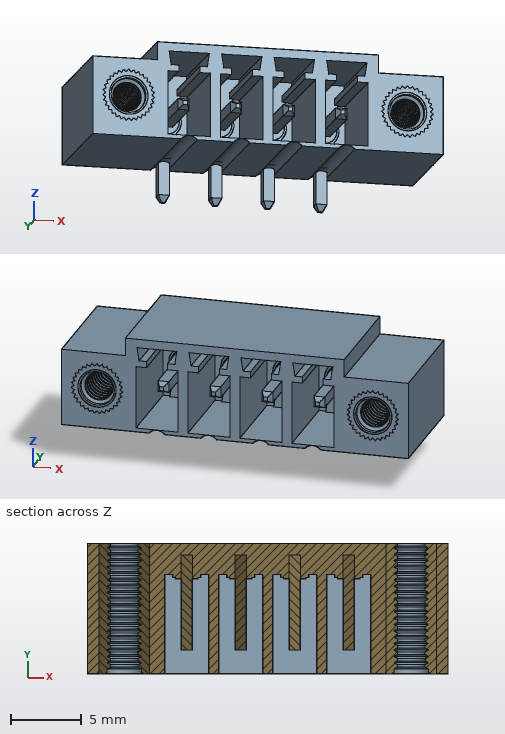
import cadquery as cq
import math


pole_count = 4
pitch = 3.81
pole_positions = [(i - (pole_count - 1) / 2) * pitch for i in range(pole_count)]
axis_height = 2.97

total_length = 25.43
body_length = 16.04
housing_depth = 9.2
housing_height = 6.97
flange_height = 5.66

cavity_depth = 7.0
cavity_width = 3.08
cavity_floor = 0.29
ledge_bottom = 4.90
ledge_top = 5.36
neck_width = 1.53
keyway_bottom_width = 2.62
keyway_top_width = 2.92
keyway_top = 6.34

pad_thickness = 0.2
pad_disc_diameter = 2.14
pad_end_width = 2.02
pad_waist_width = 1.44
pad_waist_height = 1.7
collar_diameter = 1.8
collar_thickness = 0.1

groove_diameter = 1.5
groove_height = 0.27

pin_size = 0.8
pin_tip_size = 0.3
pin_taper = 0.48
pin_leg_inset = 1.23
pin_leg_bottom = -2.64
pin_front = 1.2

insert_spacing = 20.22
insert_positions = [-insert_spacing / 2, insert_spacing / 2]
insert_protrusion = 0.01
insert_length = housing_depth + insert_protrusion
knurl_teeth = 31
knurl_tip_diameter = 3.75
knurl_root_diameter = 3.38
recess_diameter = 2.8
recess_depth = 0.05
thread_major_diameter = 2.52
thread_minor_diameter = 2.05
thread_pitch = 0.45
thread_start = 0.35
thread_half_angle = 30


def extrude_back(sketch_points, front_y, depth):
    """Prism of an XZ outline, running towards +Y from front_y."""
    plane = cq.Workplane("XZ", origin=(0, front_y, 0))
    return plane.polyline(sketch_points).close().extrude(-depth)


def disc(diameter, front_y, depth, height):
    """Cylinder along Y on X = 0."""
    return cq.Workplane("XZ", origin=(0, front_y, height)).circle(diameter / 2).extrude(-depth)


def mirrored(right_side):
    """Closed outline from its right-hand points, listed from the bottom up."""
    return right_side + [(-x, z) for x, z in reversed(right_side)]


def make_cavity():
    """Space of one pole: a wide box, a neck between two ledges and a flared keyway above."""
    pad_front = cavity_depth - pad_thickness
    outline = mirrored([
        (cavity_width / 2, cavity_floor),
        (cavity_width / 2, ledge_bottom),
        (neck_width / 2, ledge_bottom),
        (neck_width / 2, ledge_top),
        (keyway_bottom_width / 2, ledge_top),
        (keyway_top_width / 2, keyway_top),
    ])
    cavity = extrude_back(outline, 0, pad_front)

    box_outline = mirrored([
        (cavity_width / 2, cavity_floor),
        (cavity_width / 2, ledge_bottom),
    ])
    waisted_outline = mirrored([
        (pad_end_width / 2, cavity_floor),
        (pad_waist_width / 2, axis_height - pad_waist_height / 2),
        (pad_waist_width / 2, axis_height + pad_waist_height / 2),
        (pad_end_width / 2, ledge_bottom),
    ])
    pad = extrude_back(waisted_outline, pad_front, pad_thickness)
    pad = pad.union(disc(pad_disc_diameter, pad_front, pad_thickness, axis_height))
    beside_pad = extrude_back(box_outline, pad_front, pad_thickness).cut(pad)
    collar = disc(collar_diameter, pad_front - collar_thickness, collar_thickness, axis_height)
    return cavity.cut(collar).union(beside_pad)


def make_pin():
    """Right-angle square pin with a blunt pyramid at both ends."""
    leg_y = housing_depth - pin_leg_inset
    shank_front = pin_front + pin_taper
    shank_length = leg_y + pin_size / 2 - shank_front
    shank = cq.Workplane("XZ", origin=(0, shank_front, axis_height)).rect(pin_size, pin_size)
    pin = shank.extrude(-shank_length)
    front_tip = (
        cq.Workplane("XZ", origin=(0, shank_front, axis_height))
        .rect(pin_size, pin_size)
        .workplane(offset=pin_taper)
        .rect(pin_tip_size, pin_tip_size)
        .loft()
    )
    leg_end = pin_leg_bottom + pin_taper
    leg = (
        cq.Workplane("XY", origin=(0, leg_y, leg_end))
        .rect(pin_size, pin_size)
        .extrude(axis_height - leg_end)
    )
    leg_tip = (
        cq.Workplane("XY", origin=(0, leg_y, leg_end))
        .rect(pin_size, pin_size)
        .workplane(offset=-pin_taper)
        .rect(pin_tip_size, pin_tip_size)
        .loft()
    )
    return pin.union(front_tip).union(leg).union(leg_tip)


def make_insert_blank():
    """Knurled cylinder, with one knurl tip pointing straight up."""
    points = []
    for i in range(2 * knurl_teeth):
        radius = (knurl_root_diameter if i % 2 else knurl_tip_diameter) / 2
        angle = math.pi / 2 + i * math.pi / knurl_teeth
        points.append((radius * math.cos(angle), axis_height + radius * math.sin(angle)))
    return extrude_back(points, -insert_protrusion, insert_length)


def make_bore():
    """Solid of the insert's opening: recess, plain mouth, then a bore with V rings at the thread pitch."""
    recess_radius = recess_diameter / 2
    major_radius = thread_major_diameter / 2
    minor_radius = thread_minor_diameter / 2
    groove_half_width = (major_radius - minor_radius) * math.tan(math.radians(thread_half_angle))
    front = -insert_protrusion
    profile = [
        (0, front),
        (recess_radius, front),
        (recess_radius, front + recess_depth),
        (major_radius, front + recess_depth),
        (major_radius, front + thread_start),
        (minor_radius, front + thread_start + groove_half_width),
    ]
    groove_count = math.floor((insert_length - thread_start - groove_half_width) / thread_pitch)
    for i in range(1, groove_count + 1):
        groove_y = front + thread_start + i * thread_pitch
        profile += [
            (minor_radius, groove_y - groove_half_width),
            (major_radius, groove_y),
            (minor_radius, groove_y + groove_half_width),
        ]
    profile += [(minor_radius, housing_depth), (0, housing_depth)]
    bore = cq.Workplane("XY").polyline(profile).close().revolve(360, (0, 0), (0, 1))
    return bore.translate((0, 0, axis_height))


def make_housing(pin, insert_blank):
    """Stepped block with the cavities, relief grooves, pin holes and insert holes cut out."""
    outline = mirrored([
        (total_length / 2, 0),
        (total_length / 2, flange_height),
        (body_length / 2, flange_height),
        (body_length / 2, housing_height),
    ])
    housing = extrude_back(outline, 0, housing_depth)
    cavity = make_cavity()
    groove = disc(groove_diameter, 0, housing_depth, groove_height - groove_diameter / 2)
    for x in pole_positions:
        for cutter in (cavity, groove, pin):
            housing = housing.cut(cutter.translate((x, 0, 0)))
    for x in insert_positions:
        housing = housing.cut(insert_blank.translate((x, 0, 0)))
    return housing


pin = make_pin()
insert_blank = make_insert_blank()
insert = insert_blank.cut(make_bore())
housing = make_housing(pin, insert_blank)

pins = [pin.translate((x, 0, 0)).val() for x in pole_positions]
inserts = [insert.translate((x, 0, 0)).val() for x in insert_positions]
result = cq.Compound.makeCompound([housing.val(), *pins, *inserts])